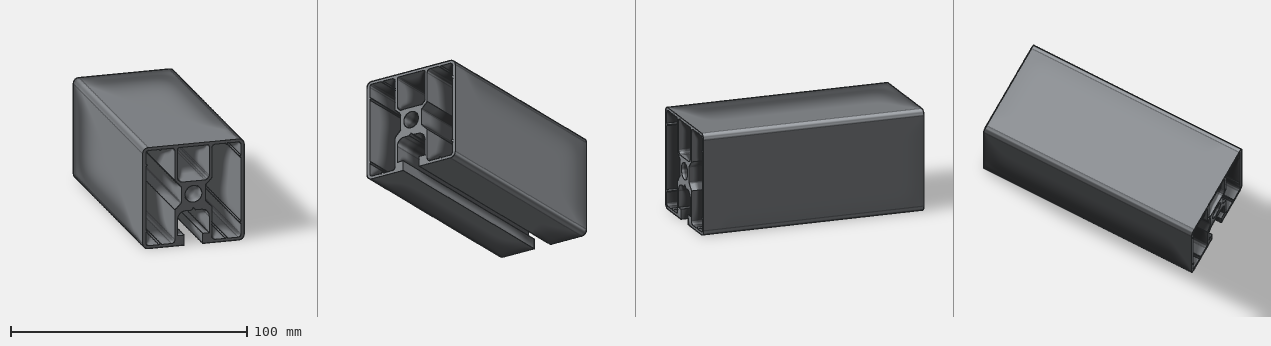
import cadquery as cq

length = 100.0
side = 45.0
half_side = side / 2
outer_radius = 2.5
side_wall = 1.5
horizontal_wall = 1.3
inner_half_width = half_side - side_wall
inner_half_height = half_side - horizontal_wall

web_inner = 7.0
web_thickness = 1.2
web_outer = web_inner + web_thickness
core_half_width = 5.4
core_half_height = 3.6
core_crease_radius = 0.5
core_flare = web_outer - core_half_width
flare_end = core_half_height + core_flare
bore_diameter = 7.4

web_corner_radius = 1.5
side_corner_radius = 1.2
upper_chamber_floor = 5.7
upper_floor_chamfer = 1.4
upper_floor_radius = 1.0
edge_margin = 0.1
upper_roof_radius = 0.8

slot_ceiling = -7.2
slot_ceiling_radius = 3.5
lip_top = -18.0
slot_opening = 8.2
notch_size = 1.0

ridge_offset = 14.7
ridge_size = 0.6


def prism(points):
    """Extrude a closed YZ outline over the full length."""
    return cq.Workplane("YZ").polyline(points).close().extrude(length)


def box(y_min, y_max, z_min, z_max):
    """Full-length rectangular bar between the given Y and Z limits."""
    return prism([(y_min, z_min), (y_max, z_min), (y_max, z_max), (y_min, z_max)])


def side_chamber():
    """Chamber on the +Y side, bulging toward the core, with ridges left on its walls."""
    chamber = box(web_outer, inner_half_width, -inner_half_height, inner_half_height)
    chamber = chamber.edges("|X and <Y").fillet(web_corner_radius)
    chamber = chamber.edges("|X and >Y").fillet(side_corner_radius)
    core_recess = prism([
        (web_outer, -flare_end),
        (web_outer, flare_end),
        (core_half_width, core_half_height),
        (core_half_width, -core_half_height),
    ])
    core_recess = core_recess.edges("|X and <Y").fillet(core_crease_radius)
    chamber = chamber.union(core_recess)
    for sign in (-1, 1):
        wall_z = sign * inner_half_height
        horizontal_wall_ridge = prism([
            (ridge_offset - ridge_size, wall_z),
            (ridge_offset + ridge_size, wall_z),
            (ridge_offset, wall_z - sign * ridge_size),
        ])
        ridge_z = sign * ridge_offset
        vertical_wall_ridge = prism([
            (inner_half_width, ridge_z - ridge_size),
            (inner_half_width, ridge_z + ridge_size),
            (inner_half_width - ridge_size, ridge_z),
        ])
        chamber = chamber.cut(horizontal_wall_ridge).cut(vertical_wall_ridge)
    return chamber


def upper_chamber():
    """Closed chamber between the webs, above the core."""
    chamber = box(-web_inner, web_inner, upper_chamber_floor, inner_half_height)
    chamber = chamber.edges("|X and >Z").fillet(upper_roof_radius)
    chamber = chamber.edges("|X and <Z").chamfer(upper_floor_chamfer)
    bevel_ends = cq.selectors.BoxSelector(
        (-edge_margin, -half_side, upper_chamber_floor - edge_margin),
        (length + edge_margin, half_side, upper_chamber_floor + upper_floor_chamfer + edge_margin),
    )
    return chamber.edges("|X").edges(bevel_ends).fillet(upper_floor_radius)


def t_slot():
    """Slot below the core, with a narrow mouth and a V notch in its ceiling."""
    cavity = box(-web_inner, web_inner, lip_top, slot_ceiling)
    cavity = cavity.edges("|X and >Z").fillet(slot_ceiling_radius)
    mouth = box(-slot_opening / 2, slot_opening / 2, -half_side, lip_top)
    notch = prism([
        (-notch_size, slot_ceiling),
        (notch_size, slot_ceiling),
        (0, slot_ceiling + notch_size),
    ])
    return cavity.union(mouth).union(notch)


body = box(-half_side, half_side, -half_side, half_side).edges("|X").fillet(outer_radius)
bore = cq.Workplane("YZ").circle(bore_diameter / 2).extrude(length)
right_chamber = side_chamber()
left_chamber = right_chamber.mirror("XZ")

result = (
    body.cut(right_chamber)
    .cut(left_chamber)
    .cut(upper_chamber())
    .cut(t_slot())
    .cut(bore)
    .translate((-length / 2, 0, 0))
)